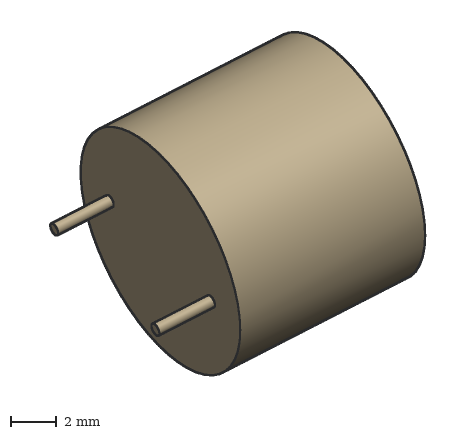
import cadquery as cq

overall_length = 13.0
body_diameter = 12.0
pin_length = 3.0
pin_diameter = 0.6
pin_spacing = 7.6

body_length = overall_length - pin_length

pin_face = cq.Workplane("XZ")

body = pin_face.circle(body_diameter / 2).extrude(-body_length)

pins = (
    pin_face
    .pushPoints([(-pin_spacing / 2, 0), (pin_spacing / 2, 0)])
    .circle(pin_diameter / 2)
    .extrude(pin_length)
)

result = body.union(pins)